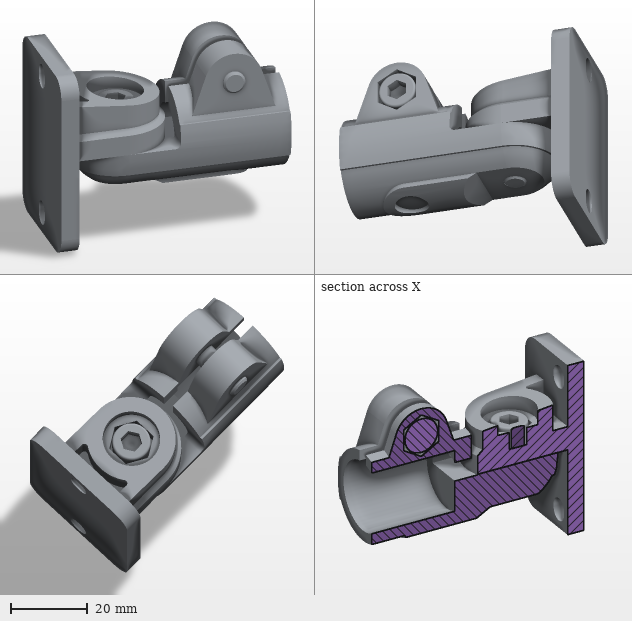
import math

import cadquery as cq


total_length = 64.0
pivot_y = 20.0

plate_width = 35.0
plate_height = 50.0
plate_thickness = 5.0
plate_corner_radius = 5.0
mount_slot_length = 6.5
mount_slot_width = 5.4
mount_slot_offset = 19.5

tube_radius = 13.0
tube_length = 30.0
cheek_half_height = 6.3
cheek_edge_x = 12.0
bore_diameter = 20.0
bore_depth = 25.0
passage_diameter = 14.0
clamp_gap = 3.2
seat_fillet = 1.5
arm_bottom_z = -10.55
tube_front_y = total_length - tube_length
bore_end_y = total_length - bore_depth

ear_width = 21.0
ear_radius = 8.0
ear_flank_angle = math.radians(19)
clamp_bolt_y = total_length - 15.0
clamp_bolt_z = 16.0
ear_face_x = ear_width / 2

pad_radius = 7.5
pad_y = total_length - 16.0
pad_bottom_z = -13.4
pad_crown_radius = 18.9
pad_recess_diameter = 9.0
pad_recess_depth = 1.6
pad_slope_low_y = 33.5
pad_slope_high_y = 28.3

lug_radius = tube_radius
lug_step = 1.5
lug_top_radius = lug_radius - lug_step
lug_step_z = 7.0
lug_tip_z = 12.35
lug_root_z = 15.0
counterbore_diameter = 15.0
counterbore_z = 10.0
relief_width = 16.0
relief_radius = 11.6
relief_corner_radius = 0.9
relief_z = lug_step_z

bolt_diameter = 6.0
bolt_tip_chamfer = 0.6
head_diameter = 10.0
head_height = 6.0
head_edge_radius = 0.6
bolt_length = 22.0
socket_flats = 5.0
socket_depth = 3.0
socket_cone_depth = 1.65
hex_pocket_flats = 10.4
pivot_head_top_z = 11.0

HEX_CORNERS_PER_FLATS = 2 / math.sqrt(3)

clamp_head_plane = cq.Plane(
    origin=(-ear_face_x, clamp_bolt_y, clamp_bolt_z),
    xDir=(0, 0, 1),
    normal=(-1, 0, 0),
)
pivot_head_plane = cq.Plane(
    origin=(0, pivot_y, pivot_head_top_z),
    xDir=(0, 1, 0),
    normal=(0, 0, 1),
)


def box_between(x_range, y_range, z_range):
    """Box given by its lower and upper limit on each axis."""
    sizes = [high - low for low, high in (x_range, y_range, z_range)]
    corner = (x_range[0], y_range[0], z_range[0])
    return cq.Workplane("XY").box(*sizes, centered=False).translate(corner)


def cylinder_along_y(diameter, y_start, y_end, z=0):
    """Round bar on the X = 0 plane between two Y positions."""
    return cq.Workplane("XZ", origin=(0, y_start, z)).circle(diameter / 2).extrude(y_start - y_end)


def make_bolt(head_plane):
    """Socket head bolt with its head top on the plane and its shank behind it."""
    head = cq.Workplane(head_plane).circle(head_diameter / 2).extrude(-head_height)
    head = head.faces(cq.selectors.DirectionMinMaxSelector(head_plane.zDir)).fillet(head_edge_radius)
    shank = cq.Workplane(head_plane).circle(bolt_diameter / 2).extrude(-bolt_length)
    shank = shank.faces(cq.selectors.DirectionMinMaxSelector(-head_plane.zDir)).chamfer(bolt_tip_chamfer)
    return head.union(shank).cut(socket(head_plane))


def socket(head_plane):
    """Hexagonal driver recess with a conical floor."""
    corner_radius = socket_flats * HEX_CORNERS_PER_FLATS / 2
    full_depth = socket_depth + socket_cone_depth
    hexagon = cq.Workplane(head_plane).polygon(6, 2 * corner_radius).extrude(-full_depth)
    profile = [
        (0, 0),
        (corner_radius, 0),
        (corner_radius, -socket_depth),
        (0, -full_depth),
    ]
    meridian = cq.Plane(origin=head_plane.origin, xDir=head_plane.xDir, normal=head_plane.yDir * -1)
    cone = cq.Workplane(meridian).polyline(profile).close().revolve(360, (0, 0), (0, 1))
    return hexagon.intersect(cone)


def bolt_hole(head_plane, depth, pocket_angle):
    """Shank hole with a hexagonal pocket that takes the bolt head; depth is from the head top."""
    hole = cq.Workplane(head_plane).circle(bolt_diameter / 2).extrude(-depth)
    pocket = (
        cq.Workplane(head_plane)
        .transformed(rotate=(0, 0, pocket_angle))
        .polygon(6, hex_pocket_flats * HEX_CORNERS_PER_FLATS)
        .extrude(-head_height)
    )
    return hole.union(pocket)


def mounting_plate():
    plate = box_between(
        (-plate_width / 2, plate_width / 2),
        (0, plate_thickness),
        (-plate_height / 2, plate_height / 2),
    )
    plate = plate.edges("|Y").fillet(plate_corner_radius)
    slots = (
        cq.Workplane("XZ")
        .pushPoints([(0, -mount_slot_offset), (0, mount_slot_offset)])
        .slot2D(mount_slot_length, mount_slot_width, 90)
        .extrude(-plate_thickness)
    )
    return plate.cut(slots)


def lug_layer(radius, height):
    """Tongue with a round end about the pivot, reaching back to the plate."""
    return (
        cq.Workplane("XY")
        .moveTo(-radius, plate_thickness)
        .lineTo(-radius, pivot_y)
        .threePointArc((0, pivot_y + radius), (radius, pivot_y))
        .lineTo(radius, plate_thickness)
        .close()
        .extrude(height)
    )


def stepped_lug():
    base = lug_layer(lug_radius, lug_step_z)
    base = base.faces(">Z").edges("not <Y").chamfer(lug_step)
    top = lug_layer(lug_top_radius, lug_root_z)
    sloped_side = [
        (plate_thickness, 0),
        (plate_thickness, lug_root_z),
        (pivot_y + lug_top_radius, lug_tip_z),
        (pivot_y + lug_top_radius, 0),
    ]
    slope = cq.Workplane("YZ").polyline(sloped_side).close().extrude(lug_radius, both=True)
    return base.union(top.intersect(slope))


def relief():
    """Pocket between the plate and the round wall about the counterbore."""
    block = box_between(
        (-relief_width / 2, relief_width / 2),
        (plate_thickness, pivot_y),
        (relief_z, lug_root_z),
    )
    wall = (
        cq.Workplane("XY", origin=(0, pivot_y, relief_z))
        .circle(relief_radius)
        .extrude(lug_root_z - relief_z)
    )
    return block.cut(wall).edges("|Z and (not <Y)").fillet(relief_corner_radius)


def make_bracket():
    counterbore = (
        cq.Workplane("XY", origin=(0, pivot_y, counterbore_z))
        .circle(counterbore_diameter / 2)
        .extrude(lug_root_z)
    )
    bracket = mounting_plate().union(stepped_lug())
    bracket = bracket.cut(counterbore).cut(relief())
    return bracket.cut(bolt_hole(pivot_head_plane, pivot_head_top_z, pocket_angle=30))


cheek_inner_x = math.sqrt(tube_radius**2 - cheek_half_height**2)


def tube_body():
    """Round tube section with a bulging cheek on each side."""
    return (
        cq.Workplane("XZ", origin=(0, pivot_y, 0))
        .moveTo(cheek_inner_x, cheek_half_height)
        .threePointArc((0, tube_radius), (-cheek_inner_x, cheek_half_height))
        .lineTo(-cheek_edge_x, cheek_half_height)
        .threePointArc((-tube_radius, 0), (-cheek_edge_x, -cheek_half_height))
        .lineTo(-cheek_inner_x, -cheek_half_height)
        .threePointArc((0, -tube_radius), (cheek_inner_x, -cheek_half_height))
        .lineTo(cheek_edge_x, -cheek_half_height)
        .threePointArc((tube_radius, 0), (cheek_edge_x, cheek_half_height))
        .close()
        .extrude(pivot_y - total_length)
    )


def round_end():
    """Half of the tube section turned about the pivot axis."""
    arc_middle_angle = (math.pi / 2 + math.asin(cheek_half_height / tube_radius)) / 2
    arc_middle = (tube_radius * math.cos(arc_middle_angle), tube_radius * math.sin(arc_middle_angle))
    return (
        cq.Workplane("XZ", origin=(0, pivot_y, 0))
        .moveTo(0, tube_radius)
        .threePointArc(arc_middle, (cheek_inner_x, cheek_half_height))
        .lineTo(cheek_edge_x, cheek_half_height)
        .threePointArc((tube_radius, 0), (cheek_edge_x, -cheek_half_height))
        .lineTo(cheek_inner_x, -cheek_half_height)
        .threePointArc((arc_middle[0], -arc_middle[1]), (0, -tube_radius))
        .close()
        .revolve(360, (0, 0), (0, 1))
    )


def bracket_seat():
    """Space above the arm for the lug, rounded where it meets the tube."""
    seat = box_between(
        (-2 * tube_radius, 2 * tube_radius),
        (0, tube_front_y),
        (0, 2 * tube_radius),
    )
    return seat.edges(">Y and <Z").fillet(seat_fillet)


def ears():
    """Both clamp ears as one block; the clamp gap parts them later."""
    flank_y = ear_radius * math.cos(ear_flank_angle)
    flank_z = clamp_bolt_z + ear_radius * math.sin(ear_flank_angle)
    base_y = ear_radius / math.cos(ear_flank_angle) + clamp_bolt_z * math.tan(ear_flank_angle)
    return (
        cq.Workplane("YZ", origin=(-ear_face_x, clamp_bolt_y, 0))
        .moveTo(-base_y, 0)
        .lineTo(-flank_y, flank_z)
        .threePointArc((0, clamp_bolt_z + ear_radius), (flank_y, flank_z))
        .lineTo(base_y, 0)
        .close()
        .extrude(ear_width)
    )


def pad():
    """Crowned pad below the tube, with a round end and straight sides."""
    outline = (
        cq.Workplane("XY")
        .moveTo(-pad_radius, pad_slope_high_y)
        .lineTo(-pad_radius, pad_y)
        .threePointArc((0, pad_y + pad_radius), (pad_radius, pad_y))
        .lineTo(pad_radius, pad_slope_high_y)
        .close()
        .extrude(pad_bottom_z)
    )
    crown = cylinder_along_y(2 * pad_crown_radius, 0, total_length, pad_bottom_z + pad_crown_radius)
    return outline.intersect(crown)


def underside_cut():
    """Flat below the arm, leading into the slope at the end of the pad."""
    slope = (arm_bottom_z - pad_bottom_z) / (pad_slope_high_y - pad_slope_low_y)
    low_z = -2 * tube_radius
    low_y = pad_slope_low_y + (low_z - pad_bottom_z) / slope
    side = [(0, arm_bottom_z), (pad_slope_high_y, arm_bottom_z), (low_y, low_z), (0, low_z)]
    return cq.Workplane("YZ").polyline(side).close().extrude(2 * tube_radius, both=True)


def make_arm():
    arm = tube_body().union(round_end()).cut(bracket_seat())
    arm = arm.union(ears()).union(pad()).cut(underside_cut())

    bore = cylinder_along_y(bore_diameter, bore_end_y, total_length)
    passage = cylinder_along_y(passage_diameter, pivot_y, total_length)
    gap = box_between((-clamp_gap / 2, clamp_gap / 2), (pivot_y, total_length), (0, 2 * total_length))
    above_axis = box_between((-tube_radius, tube_radius), (0, total_length), (0, total_length))
    recess = (
        cq.Workplane("XY", origin=(0, pad_y, pad_bottom_z))
        .circle(pad_recess_diameter / 2)
        .extrude(pad_recess_depth)
    )
    arm = arm.cut(bore).cut(passage.intersect(above_axis)).cut(gap).cut(recess)
    arm = arm.cut(bolt_hole(clamp_head_plane, ear_width, pocket_angle=0))
    pivot_hole = cq.Workplane("XY", origin=(0, pivot_y, 0)).circle(bolt_diameter / 2).extrude(-tube_radius)
    return arm.cut(pivot_hole)


bracket = make_bracket()
arm = make_arm()
bolts = [make_bolt(head_plane) for head_plane in (pivot_head_plane, clamp_head_plane)]

result = cq.Compound.makeCompound([bracket.val(), arm.val(), *[bolt.val() for bolt in bolts]])